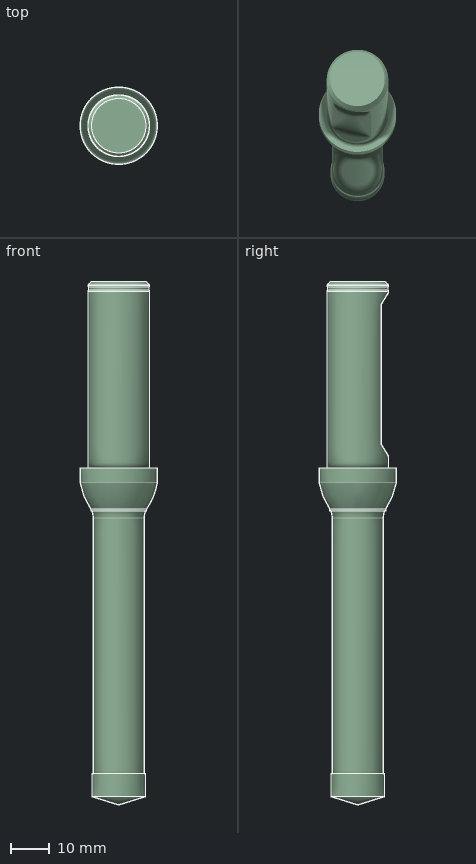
import cadquery as cq
import math

total_height = 135.0
tip_top = 8.1
fillet_bottom = 74.0
lip_bottom = 75.9
rounding_bottom = 76.3
collar_rim_bottom = 83.2
collar_top = 87.0

tip_diameter = 13.9
shaft_diameter = 13.2
lip_diameter = 14.5
neck_top_diameter = 13.9
collar_diameter = 20.0
shank_diameter = 15.9

rounding_bulge = 0.4

point_height = 2.2

chamfer_width = 1.0
chamfer_height = 1.0
groove_top = 133.9
groove_bottom = 132.5
groove_depth = 0.1
groove_wall_run = 0.4

flat_offset = 6.1
flat_floor_bottom = 93.0
flat_floor_top = 129.0
flat_end_run = 3.1
flat_depth = shank_diameter / 2 - flat_offset


def make_tip():
    """Cylindrical cutting head with a conical point."""
    radius = tip_diameter / 2
    return (
        cq.Workplane("XZ")
        .moveTo(0, 0)
        .lineTo(radius, point_height)
        .lineTo(radius, tip_top)
        .lineTo(0, tip_top)
        .close()
        .revolve(360, (0, 0, 0), (0, 1, 0))
    )


def make_turned_body():
    """Shaft, collar and shank as one revolved outline."""
    shaft_radius = shaft_diameter / 2
    lip_radius = lip_diameter / 2
    neck_top_radius = neck_top_diameter / 2
    collar_radius = collar_diameter / 2
    shank_radius = shank_diameter / 2
    groove_radius = shank_radius - groove_depth

    drop = collar_rim_bottom - rounding_bottom
    inset = collar_radius - lip_radius
    chord = math.hypot(drop, inset)
    rounding_middle = (
        (collar_radius + lip_radius) / 2 + rounding_bulge * drop / chord,
        (collar_rim_bottom + rounding_bottom) / 2 - rounding_bulge * inset / chord,
    )

    return (
        cq.Workplane("XZ")
        .moveTo(0, tip_top)
        .lineTo(shaft_radius, tip_top)
        .lineTo(shaft_radius, fillet_bottom)
        .tangentArcPoint((neck_top_radius, lip_bottom), relative=False)
        .lineTo(lip_radius, lip_bottom)
        .lineTo(lip_radius, rounding_bottom)
        .threePointArc(rounding_middle, (collar_radius, collar_rim_bottom))
        .lineTo(collar_radius, collar_top)
        .lineTo(shank_radius, collar_top)
        .lineTo(shank_radius, groove_bottom)
        .lineTo(groove_radius, groove_bottom + groove_wall_run)
        .lineTo(groove_radius, groove_top - groove_wall_run)
        .lineTo(shank_radius, groove_top)
        .lineTo(shank_radius, total_height - chamfer_height)
        .lineTo(shank_radius - chamfer_width, total_height)
        .lineTo(0, total_height)
        .close()
        .revolve(360, (0, 0, 0), (0, 1, 0))
    )


def make_flat_cutter():
    """Trapezoidal prism along X that leaves a flat with sloping ends."""
    outer = flat_offset + flat_depth
    return (
        cq.Workplane("YZ")
        .moveTo(flat_offset, flat_floor_bottom)
        .lineTo(outer, flat_floor_bottom - flat_end_run)
        .lineTo(outer, flat_floor_top + flat_end_run)
        .lineTo(flat_offset, flat_floor_top)
        .close()
        .extrude(shank_diameter / 2, both=True)
    )


tip = make_tip()
holder = make_turned_body().cut(make_flat_cutter())

result = cq.Compound.makeCompound([holder.val(), tip.val()])